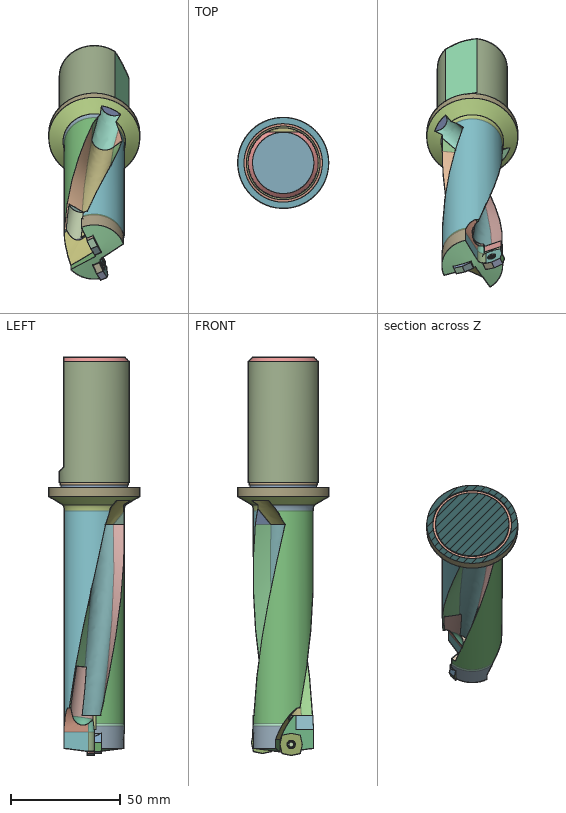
import cadquery as cq
import math

TOTAL_LENGTH = 182.2

SHANK_DIAMETER = 32.0
SHANK_BOTTOM = 125.0
SHANK_CHAMFER = 2.0
FLAT_DISTANCE = 14.0
FLAT_BOTTOM = 129.9
NECK_DIAMETER = 31.3
NECK_BOTTOM = 123.7
UNDERCUT_DIAMETER = 30.6
FLANGE_DIAMETER = 41.7
FLANGE_TOP = 122.6
FLANGE_BOTTOM = 118.4
FACE_GROOVE_OUTER_DIAMETER = 35.9
FACE_GROOVE_INNER_DIAMETER = 33.7
FACE_GROOVE_DEPTH = 0.5

CONE_BOTTOM = 114.5
CONE_BOTTOM_DIAMETER = 28.6
BODY_DIAMETER = 27.5
BODY_TOP = 111.8
CONE_BLEND_HOLLOW = 0.2
HEAD_DIAMETER = 27.9
HEAD_STEP_TOP = 14.5
HEAD_STEP_BOTTOM = 13.5
HEAD_EDGE_HEIGHT = 3.3
HEAD_CENTRE_HEIGHT = 1.5

FLUTE_TOP = 105.7
FLUTE_BOTTOM = 18.4
FLUTE_TWIST_RATE = 0.9332
FLUTE_LIP = (-12.5, -5.1)
FLUTE_ARC_START = (-5.6, -1.5)
FLUTE_ARC_END = (2.2, -8.7)
FLUTE_EDGE = (1.0, -13.5)
FLUTE_ARC_RADIUS = 6.0
FLUTE_CLEARANCE = 7.3
RUNOUT_RISE = 11.0
RUNOUT_REACH = 12.8

GULLET_RADIUS = 5.6
GULLET_BALL = (-8.0, 5.8, 17.3)
GULLET_TOP = (-9.0, 2.5, 40.0)

POCKET_TOP = 21.9
CENTRE_WALL_X = -1.5
CENTRE_WALL_TOP = 7.3
OUTER_WALL_X = 4.0
OUTER_WALL_TOP = 10.7
POCKET_SLOPE_END_X = 8.2
POCKET_WALL_BULGE = 1.1
POCKET_DRAFT = 0.15
POCKET_MARGIN = 1.8
OUTER_POCKET_FILLET = 3.1
RELIEF_START_X = 5.8
RELIEF_BOTTOM = 12.0
RELIEF_DEPTH = 0.7

INSERT_THICKNESS = 3.3
INSERT_APEX = 5.1
INSERT_CORNER = 4.2
CENTRE_INSERT_X = 3.6
CENTRE_INSERT_Z = INSERT_APEX
OUTER_INSERT_X = 9.5
OUTER_INSERT_Z = 6.0
SEAT_DIAMETER = 3.8
SCREW_DIAMETER = 2.7
SEAT_DEPTH = 1.1
SCREW_HEAD_SINK = 0.5
SCREW_END = 6.5
RECESS_DIAMETER = 2.2
RECESS_DEPTH = 1.0


def turned_blank():
    """Shank, neck, flange, cone, body and head as one revolved shape."""
    shank_radius = SHANK_DIAMETER / 2
    body_radius = BODY_DIAMETER / 2
    groove_bottom = FLANGE_TOP - FACE_GROOVE_DEPTH
    cone_radius = CONE_BOTTOM_DIAMETER / 2
    blend_middle = (
        (body_radius + cone_radius) / 2 - CONE_BLEND_HOLLOW,
        (CONE_BOTTOM + BODY_TOP) / 2,
    )
    return (
        cq.Workplane("XZ")
        .moveTo(0, HEAD_CENTRE_HEIGHT)
        .lineTo(HEAD_DIAMETER / 2, HEAD_EDGE_HEIGHT)
        .lineTo(HEAD_DIAMETER / 2, HEAD_STEP_BOTTOM)
        .lineTo(body_radius, HEAD_STEP_TOP)
        .lineTo(body_radius, BODY_TOP)
        .threePointArc(blend_middle, (cone_radius, CONE_BOTTOM))
        .lineTo(FLANGE_DIAMETER / 2, FLANGE_BOTTOM)
        .lineTo(FLANGE_DIAMETER / 2, FLANGE_TOP)
        .lineTo(FACE_GROOVE_OUTER_DIAMETER / 2, FLANGE_TOP)
        .lineTo(FACE_GROOVE_OUTER_DIAMETER / 2, groove_bottom)
        .lineTo(FACE_GROOVE_INNER_DIAMETER / 2, groove_bottom)
        .lineTo(FACE_GROOVE_INNER_DIAMETER / 2, FLANGE_TOP)
        .lineTo(UNDERCUT_DIAMETER / 2, FLANGE_TOP)
        .lineTo(UNDERCUT_DIAMETER / 2, NECK_BOTTOM)
        .lineTo(NECK_DIAMETER / 2, NECK_BOTTOM)
        .lineTo(NECK_DIAMETER / 2, SHANK_BOTTOM)
        .lineTo(shank_radius, SHANK_BOTTOM)
        .lineTo(shank_radius, TOTAL_LENGTH - SHANK_CHAMFER)
        .lineTo(shank_radius - SHANK_CHAMFER, TOTAL_LENGTH)
        .lineTo(0, TOTAL_LENGTH)
        .close()
        .revolve(360, (0, 0, 0), (0, 1, 0))
    )


def shank_flat():
    """Material removed for the clamping flat, with its 45 degree run-out."""
    shank_radius = SHANK_DIAMETER / 2
    runout_top = FLAT_BOTTOM + shank_radius - FLAT_DISTANCE
    return (
        cq.Workplane("YZ")
        .moveTo(FLAT_DISTANCE, TOTAL_LENGTH)
        .lineTo(FLAT_DISTANCE, runout_top)
        .lineTo(shank_radius, FLAT_BOTTOM)
        .lineTo(SHANK_DIAMETER, FLAT_BOTTOM)
        .lineTo(SHANK_DIAMETER, TOTAL_LENGTH)
        .close()
        .extrude(SHANK_DIAMETER, both=True)
    )


def extended(start, end):
    """Point beyond `end` on the line from `start`, by the flute clearance."""
    length = math.dist(start, end)
    return tuple(e + (e - s) / length * FLUTE_CLEARANCE for s, e in zip(start, end))


def swept(outline, path):
    """Solid left behind by a flat outline moved along a straight vector."""
    face = cq.Face.makeFromWires(outline.val())
    return cq.Workplane(cq.Solid.extrudeLinear(face, path))


def flute_section(height):
    """Closed flute outline on a horizontal plane at the given height."""
    lip_end = extended(FLUTE_ARC_START, FLUTE_LIP)
    edge_end = extended(FLUTE_ARC_END, FLUTE_EDGE)
    return (
        cq.Workplane("XY", origin=(0, 0, height))
        .moveTo(*lip_end)
        .lineTo(*FLUTE_ARC_START)
        .radiusArc(FLUTE_ARC_END, FLUTE_ARC_RADIUS)
        .lineTo(*edge_end)
        .lineTo(lip_end[0], edge_end[1])
        .close()
    )


def flute():
    """Helical flute on the -X side with a sloped run-out at its top."""
    length = FLUTE_TOP - FLUTE_BOTTOM
    twist = FLUTE_TWIST_RATE * length
    helical = turned(flute_section(FLUTE_BOTTOM).twistExtrude(length, twist), -twist)
    outward = RUNOUT_REACH / math.sqrt(2)
    runout_path = cq.Vector(-outward, -outward, RUNOUT_RISE)
    runout = swept(flute_section(FLUTE_TOP), runout_path)
    return helical.union(runout)


def gullet():
    """Straight ball-ended channel along the lower end of the flute on the -X side."""
    ball_centre = cq.Vector(*GULLET_BALL)
    axis = cq.Vector(*GULLET_TOP) - ball_centre
    channel = cq.Solid.makeCylinder(GULLET_RADIUS, axis.Length, ball_centre, axis)
    ball = cq.Workplane("XY", origin=GULLET_BALL).sphere(GULLET_RADIUS)
    return ball.union(cq.Workplane(channel))


def chip_pocket(wall_x, wall_top):
    """Pocket on the -Y side that clears the space in front of an insert, down to Y = 0."""
    reach = BODY_DIAMETER
    outline = (
        cq.Workplane("XZ")
        .moveTo(wall_x, -POCKET_MARGIN)
        .lineTo(wall_x, wall_top)
        .sagittaArc((POCKET_SLOPE_END_X, POCKET_TOP), POCKET_WALL_BULGE)
        .lineTo(reach, POCKET_TOP)
        .lineTo(reach, -POCKET_MARGIN)
        .close()
    )
    return swept(outline, cq.Vector(-POCKET_DRAFT * reach, -reach, 0))


def outer_chip_pocket():
    """Chip pocket of the outer insert, with a rounded inner corner."""
    corner = cq.selectors.NearestToPointSelector((OUTER_WALL_X, 0, OUTER_WALL_TOP / 2))
    pocket = chip_pocket(OUTER_WALL_X, OUTER_WALL_TOP)
    return pocket.edges("|Z").edges(corner).fillet(OUTER_POCKET_FILLET)


def floor_relief():
    """Shallow step in the pocket floor between the insert and the flute."""
    return (
        cq.Workplane("XY")
        .box(BODY_DIAMETER, BODY_DIAMETER, FLUTE_BOTTOM - RELIEF_BOTTOM, centered=False)
        .translate((RELIEF_START_X, RELIEF_DEPTH - BODY_DIAMETER, RELIEF_BOTTOM))
    )


def turned(shape, angle):
    """Shape turned about the drill axis."""
    return shape.rotate((0, 0, 0), (0, 0, 1), angle)


def half_turn(shape):
    """Shape turned to the opposite side of the drill axis."""
    return turned(shape, 180)


def insert_blank(x, z):
    """Four-sided insert with pointed side middles, its cutting face on Y = 0."""
    corner_radius = INSERT_CORNER * math.sqrt(2)
    points = []
    for step in range(8):
        radius = INSERT_APEX if step % 2 == 0 else corner_radius
        angle = math.radians(45 * step)
        points.append((x + radius * math.cos(angle), z + radius * math.sin(angle)))
    return cq.Workplane("XZ").polyline(points).close().extrude(-INSERT_THICKNESS)


def screw_blank(x, z):
    """Conical seat and screw bore as one revolved shape."""
    return (
        cq.Workplane("XY", origin=(x, 0, z))
        .polyline([
            (0, 0),
            (SEAT_DIAMETER / 2, 0),
            (SCREW_DIAMETER / 2, SEAT_DEPTH),
            (SCREW_DIAMETER / 2, SCREW_END),
            (0, SCREW_END),
        ])
        .close()
        .revolve(360, (0, 0, 0), (0, 1, 0))
    )


def insert(x, z):
    """Cutting insert with its screw hole."""
    return insert_blank(x, z).cut(screw_blank(x, z))


def screw(x, z):
    """Countersunk screw sunk below the cutting face, with a round drive recess."""
    plane = cq.Workplane("XZ", origin=(x, 0, z))
    above_head = plane.circle(SEAT_DIAMETER).extrude(-SCREW_HEAD_SINK)
    recess = plane.circle(RECESS_DIAMETER / 2).extrude(-(SCREW_HEAD_SINK + RECESS_DEPTH))
    return screw_blank(x, z).cut(above_head).cut(recess)


def drill_body():
    """Turned blank with flat, flutes, chip pockets, insert seats and screw holes."""
    body = turned_blank().cut(shank_flat())
    for feature in (flute(), gullet(), floor_relief()):
        body = body.cut(feature).cut(half_turn(feature))
    body = body.cut(chip_pocket(CENTRE_WALL_X, CENTRE_WALL_TOP)).cut(half_turn(outer_chip_pocket()))
    for blank in (insert_blank, screw_blank):
        body = body.cut(blank(CENTRE_INSERT_X, CENTRE_INSERT_Z))
        body = body.cut(half_turn(blank(OUTER_INSERT_X, OUTER_INSERT_Z)))
    return body


body = drill_body()
inserts = []
screws = []
for insert_x, insert_z, turn in (
    (CENTRE_INSERT_X, CENTRE_INSERT_Z, 0),
    (OUTER_INSERT_X, OUTER_INSERT_Z, 180),
):
    inserts.append(turned(insert(insert_x, insert_z), turn).val())
    screws.append(turned(screw(insert_x, insert_z), turn).val())

result = cq.Compound.makeCompound([body.val(), *inserts, *screws])